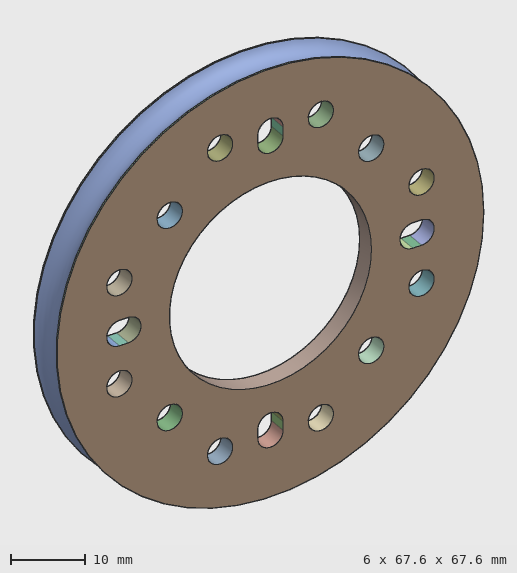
import cadquery as cq
import math

outer_diameter = 67.6
width = 6.0
bore_diameter = 32.0
recess_diameter = 59.95
recess_depth = width / 2

rim_land = 0.3
groove_depth = 1.75

hole_diameter = 4.0
hole_near = 8.0
hole_diagonal = 2 * hole_near
hole_far = 3 * hole_near
slot_length = 5.4

outer_radius = outer_diameter / 2
half_width = width / 2
groove_half_width = half_width - rim_land


def wheel_body():
    """Revolve the half section, drawn with X along the axis and Y as radius."""
    section = (
        cq.Workplane("XY")
        .moveTo(-half_width, recess_diameter / 2)
        .lineTo(-half_width, outer_radius)
        .lineTo(-groove_half_width, outer_radius)
        .threePointArc((0, outer_radius - groove_depth), (groove_half_width, outer_radius))
        .lineTo(half_width, outer_radius)
        .lineTo(half_width, bore_diameter / 2)
        .lineTo(recess_depth - half_width, bore_diameter / 2)
        .lineTo(recess_depth - half_width, recess_diameter / 2)
        .close()
    )
    return section.revolve(360, (0, 0, 0), (1, 0, 0))


def web_plane():
    """Plane on the -X face whose local axes are Y and Z."""
    return cq.Workplane("YZ", origin=(-half_width, 0, 0))


def round_holes():
    quadrant = [
        (hole_near, hole_far),
        (hole_diagonal, hole_diagonal),
        (hole_far, hole_near),
    ]
    centres = [(sy * y, sz * z) for y, z in quadrant for sy in (-1, 1) for sz in (-1, 1)]
    return web_plane().pushPoints(centres).circle(hole_diameter / 2).extrude(width)


def radial_slot(angle):
    """Radial slot whose outer end is level with the outermost holes."""
    centre_radius = hole_far + (hole_diameter - slot_length) / 2
    turn = math.radians(angle)
    return (
        web_plane()
        .center(centre_radius * math.cos(turn), centre_radius * math.sin(turn))
        .slot2D(slot_length, hole_diameter, angle)
        .extrude(width)
    )


result = wheel_body().cut(round_holes())
for slot_angle in (0, 90, 180, 270):
    result = result.cut(radial_slot(slot_angle))